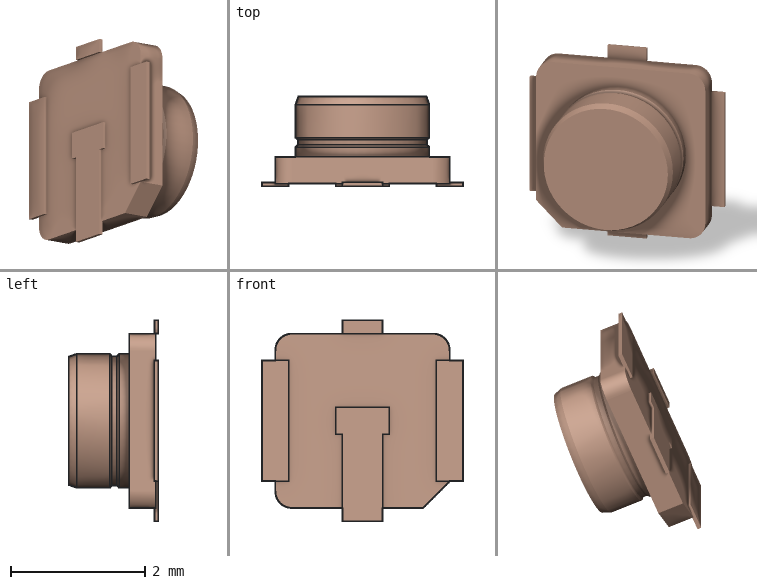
import cadquery as cq

overall_width = 3.0
overall_depth = 1.34

base_width = 2.6
base_depth = 0.4
base_corner_radius = 0.25
base_corner_cut = 0.4

terminal_thickness = 0.06
terminal_sink = 0.02
side_terminal_width = 0.4
side_terminal_height = 1.8
contact_head_width = 0.8
contact_head_height = 0.4
contact_stem_width = 0.6

barrel_diameter = 2.0
taper_length = 0.125
taper_inset = 0.045
groove_depth = 0.035
groove_start = 0.145
groove_floor_start = 0.18
groove_floor_end = 0.258
groove_end = 0.288

half_width = overall_width / 2
base_half = base_width / 2
base_front = terminal_thickness - terminal_sink
base_back = base_front + base_depth
barrel_radius = barrel_diameter / 2
groove_radius = barrel_radius - groove_depth


def make_strip(x_min, x_max, z_min, z_max):
    """Flat strip of terminal thickness with its front face at Y = 0."""
    width = x_max - x_min
    height = z_max - z_min
    return cq.Workplane("XY").box(width, terminal_thickness, height, centered=False).translate((x_min, 0, z_min))


def make_side_terminal(side):
    """Ground terminal on one side; side is -1 for -X and +1 for +X."""
    inner = half_width - side_terminal_width
    x_min, x_max = sorted((side * inner, side * half_width))
    return make_strip(x_min, x_max, -side_terminal_height / 2, side_terminal_height / 2)


def make_center_contact():
    """T-shaped contact: head at the center, stem running out past the lower edge."""
    head_x = contact_head_width / 2
    head_z = contact_head_height / 2
    stem_x = contact_stem_width / 2
    head = make_strip(-head_x, head_x, -head_z, head_z)
    stem = make_strip(-stem_x, stem_x, -half_width, -head_z)
    return head.union(stem)


def make_top_tab():
    """Short tab standing on the upper edge of the base."""
    stem_x = contact_stem_width / 2
    return make_strip(-stem_x, stem_x, base_half, half_width)


def make_base():
    """Plate with three rounded corners and one cut corner at +X, -Z."""
    plate = cq.Workplane("XY").box(base_width, base_depth, base_width)
    plate = plate.edges("|Y and (<X or >Z)").fillet(base_corner_radius)
    plate = plate.edges("|Y").edges(cq.selectors.NearestToPointSelector((base_half, 0, -base_half)))
    plate = plate.chamfer(base_corner_cut)
    return plate.translate((0, base_front + base_depth / 2, 0))


def make_barrel():
    """Round boss turned about the Y axis from a half profile on the -X side."""
    profile = [
        (0, base_back),
        (-barrel_radius, base_back),
        (-barrel_radius, base_back + groove_start),
        (-groove_radius, base_back + groove_floor_start),
        (-groove_radius, base_back + groove_floor_end),
        (-barrel_radius, base_back + groove_end),
        (-barrel_radius, overall_depth - taper_length),
        (taper_inset - barrel_radius, overall_depth),
        (0, overall_depth),
    ]
    return cq.Workplane("XY").polyline(profile).close().revolve(360, (0, 0, 0), (0, 1, 0))


def make_housing(terminals):
    """Base and barrel in one piece, with a matching recess for each sunk terminal."""
    body = make_base().union(make_barrel())
    for terminal in terminals:
        body = body.cut(terminal)
    return body


side_terminals = [make_side_terminal(side) for side in (-1, 1)]
center_contact = make_center_contact()
top_tab = make_top_tab()
housing = make_housing([*side_terminals, center_contact])

result = cq.Compound.makeCompound([
    housing.val(),
    *[terminal.val() for terminal in side_terminals],
    center_contact.val(),
    top_tab.val(),
])